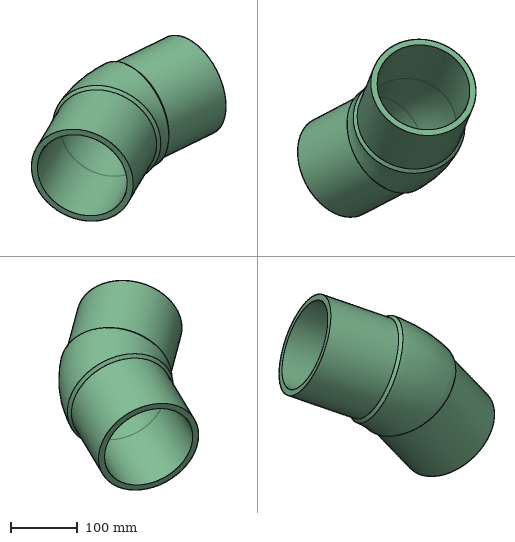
import cadquery as cq
import math

bend_angle = 30.0
pipe_diameter = 160.0
bore_diameter = 141.0
body_diameter = 169.5
overall_length = 329.2
leg_length = 116.0

bend_radians = math.radians(bend_angle)
outlet_rim_rise = pipe_diameter / 2 * math.sin(bend_radians)
tangent_length = (overall_length - outlet_rim_rise) / (1 + math.cos(bend_radians))
bend_radius = (tangent_length - leg_length) / math.tan(bend_radians / 2)
shoulder_width = (body_diameter - pipe_diameter) / 2


def leg_plane():
    """Plane across the inlet end, facing along the inlet axis (+Y)."""
    return cq.Workplane(cq.Plane(origin=(0, 0, 0), xDir=(1, 0, 0), normal=(0, 1, 0)))


def to_outlet(leg_bar):
    """Turn an inlet leg end for end and swing it about the bend axis to the outlet."""
    mirrored = leg_bar.mirror("XZ", (0, leg_length, 0))
    return mirrored.rotate((bend_radius, leg_length, 0), (bend_radius, leg_length, 1), -bend_angle)


def bend(diameter):
    """Round bar revolved through the bend angle, curving toward +X."""
    return (
        leg_plane()
        .workplane(offset=leg_length)
        .circle(diameter / 2)
        .revolve(bend_angle, (bend_radius, -3.3, 0), (bend_radius, 3.3, 0))
    )


def leg(diameter):
    """Straight bar from the pipe end to the start of the bend."""
    return leg_plane().circle(diameter / 2).extrude(leg_length)


def elbow(bend_bar, leg_bar):
    """Join the bend to a leg at each of its ends."""
    return bend_bar.union(leg_bar).union(to_outlet(leg_bar))


body = bend(body_diameter).faces("%PLANE").edges().chamfer(shoulder_width)

outside = elbow(body, leg(pipe_diameter))
bore = elbow(bend(bore_diameter), leg(bore_diameter))
result = outside.cut(bore)